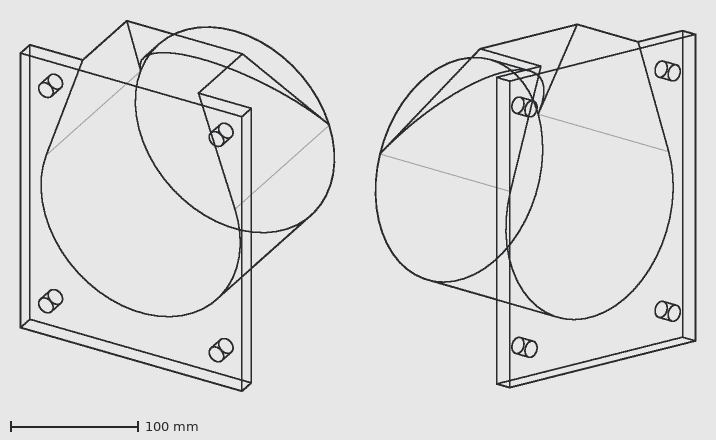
import cadquery as cq
import math

plate_width = 200.0
plate_height = 250.0
plate_thickness = 15.0

hole_diameter = 13.0
hole_spacing_x = 154.0
hole_spacing_z = 196.0

barrel_radius = 90.0
barrel_length = 150.0
back_y = plate_thickness + barrel_length

hood_top_z = plate_height / 2
hood_top_half_width = 52.2
hood_top_length = 70.0
hood_top_end_y = plate_thickness + hood_top_length

corner_distance = math.hypot(hood_top_half_width, hood_top_z)
corner_angle = math.atan2(hood_top_z, hood_top_half_width)
tangent_angle = corner_angle - math.acos(barrel_radius / corner_distance)
tangent_x = barrel_radius * math.cos(tangent_angle)
tangent_z = barrel_radius * math.sin(tangent_angle)


def make_plate():
    plate = cq.Workplane("XY").box(
        plate_width, plate_thickness, plate_height, centered=(True, False, True)
    )
    return (
        plate.faces("<Y").workplane(centerOption="CenterOfBoundBox")
        .rect(hole_spacing_x, hole_spacing_z, forConstruction=True)
        .vertices()
        .hole(hole_diameter)
    )


def make_barrel():
    base = cq.Workplane("XZ", origin=(0, plate_thickness, 0))
    return base.circle(barrel_radius).extrude(-barrel_length)


def make_hood():
    cross_section = [
        (0, 0),
        (tangent_x, tangent_z),
        (hood_top_half_width, hood_top_z),
        (-hood_top_half_width, hood_top_z),
        (-tangent_x, tangent_z),
    ]
    hood = (
        cq.Workplane("XZ", origin=(0, plate_thickness, 0))
        .polyline(cross_section).close()
        .extrude(-barrel_length)
    )
    side_outline = [
        (plate_thickness, 0),
        (plate_thickness, hood_top_z),
        (hood_top_end_y, hood_top_z),
        (back_y, tangent_z),
        (back_y, 0),
    ]
    envelope = (
        cq.Workplane("YZ")
        .polyline(side_outline).close()
        .extrude(plate_width / 2, both=True)
    )
    return hood.intersect(envelope)


result = make_plate().union(make_barrel()).union(make_hood())